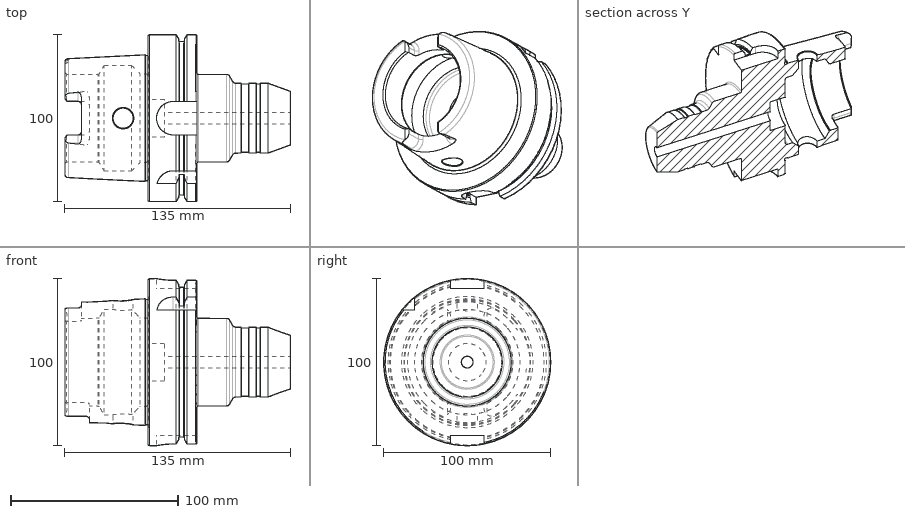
import cadquery as cq
import math


LENGTH = 135.0
FLANGE_START = 49.7
FLANGE_END = 79.0

TAPER_END = 47.9
TAPER_END_RADIUS = 38.0
TAPER_START_RADIUS = TAPER_END_RADIUS - TAPER_END / 20
SHANK_RIM_FILLET = 2.0

NECK_RADIUS = 37.5
NECK_CHAMFER = 0.4
RELIEF_START = 49.0
RELIEF_FLOOR_RADIUS = 38.2
RELIEF_RIM_RADIUS = 39.3
RELIEF_DEPTH = 0.5

FLANGE_RADIUS = 50.02
FLANGE_FRONT_CHAMFER_LENGTH = 0.8
FLANGE_FRONT_CHAMFER_HEIGHT = 0.5
FLANGE_BACK_FILLET = 1.0
GROOVE_CENTRE = 69.8
GROOVE_MOUTH_WIDTH = 6.5
GROOVE_FLOOR_WIDTH = 3.4
GROOVE_SLOPE_RADIUS = 47.4
GROOVE_FLOOR_RADIUS = 45.97
GROOVE_FLOOR_FILLET = 0.4

HUB_RADIUS = 26.26
HUB_BASE_FILLET = 0.8
SHOULDER_START = 97.9
SHOULDER_ANGLE = 60
SHOULDER_FILLET = 2.0
NOSE_RADIUS = 20.99
NOSE_GROOVE_RADIUS = 20.5
NOSE_GROOVE_FLANK = 0.3
NOSE_GROOVES = [(105.3, 110.2), (114.3, 116.9)]
NOSE_CONE_START = 121.4
NOSE_CONE_ANGLE = 20
NOSE_RIM_FILLET = 0.8

BORE_RADIUS = 26.26
BORE_MOUTH_CHAMFER = 1.1
LAND_RADIUS = 26.53
LAND_START = 19.8
LAND_END = 20.5
CLAMP_RADIUS = 31.52
CLAMP_FRONT_ANGLE = 60
CLAMP_END = 40.0
CLAMP_BACK_ANGLE = 45
BORE_DEPTH = 49.7
BORE_FLOOR_FILLET = 1.5
SOCKET_RADIUS = 11.2
SOCKET_DEPTH = 10.0
COOLANT_RADIUS = 3.44

CROSS_HOLE_X = 34.8
CROSS_HOLE_RADIUS = 6.01
CROSS_HOLE_CHAMFER = 0.4

KEYWAY_DEPTHS = {1: 9.9, -1: 14.6}
KEYWAY_HALF_WIDTH = 10.0
KEYWAY_LEDGE = 32.4
KEYWAY_CORNER_RADIUS = 5.0
KEYWAY_FLOOR_FILLET = 2.0
KEYWAY_MOUTH_FLARE = 1.8
KEYWAY_MOUTH_LENGTH = 1.4

SLOT_RADIUS = 10.0
SLOT_END_X = 64.8
SLOT_FLOOR = 44.0
NOTCH_FLOOR = 31.3
NOTCH_WALL = 31.5

MARGIN = 6.8


def revolve(profile):
    """Turn an XY profile (x along the axis, y the radius) about the X axis."""
    return profile.close().revolve(360, (0, 0, 0), (1, 0, 0))


def nose_groove(start, end):
    """Shallow ring groove in the nose with slightly slanted flanks."""
    profile = (
        cq.Workplane("XY")
        .moveTo(start, NOSE_RADIUS + MARGIN)
        .lineTo(start, NOSE_RADIUS)
        .lineTo(start + NOSE_GROOVE_FLANK, NOSE_GROOVE_RADIUS)
        .lineTo(end - NOSE_GROOVE_FLANK, NOSE_GROOVE_RADIUS)
        .lineTo(end, NOSE_RADIUS)
        .lineTo(end, NOSE_RADIUS + MARGIN)
    )
    return revolve(profile)


def shank_and_flange():
    relief_floor = FLANGE_START + RELIEF_DEPTH
    profile = (
        cq.Workplane("XY")
        .lineTo(0, TAPER_START_RADIUS - SHANK_RIM_FILLET)
        .radiusArc((SHANK_RIM_FILLET, TAPER_START_RADIUS + SHANK_RIM_FILLET / 20), SHANK_RIM_FILLET)
        .lineTo(TAPER_END, TAPER_END_RADIUS)
        .lineTo(TAPER_END + NECK_CHAMFER, NECK_RADIUS)
        .lineTo(RELIEF_START, NECK_RADIUS)
        .threePointArc((relief_floor, RELIEF_FLOOR_RADIUS), (FLANGE_START, RELIEF_RIM_RADIUS))
        .lineTo(FLANGE_START, FLANGE_RADIUS - FLANGE_FRONT_CHAMFER_HEIGHT)
        .lineTo(FLANGE_START + FLANGE_FRONT_CHAMFER_LENGTH, FLANGE_RADIUS)
        .lineTo(FLANGE_END - FLANGE_BACK_FILLET, FLANGE_RADIUS)
        .radiusArc((FLANGE_END, FLANGE_RADIUS - FLANGE_BACK_FILLET), FLANGE_BACK_FILLET)
        .lineTo(FLANGE_END, 0)
    )
    return revolve(profile)


def hub_and_nose():
    shoulder_end = SHOULDER_START + (HUB_RADIUS - NOSE_RADIUS) / math.tan(math.radians(SHOULDER_ANGLE))
    tip_radius = NOSE_RADIUS - (LENGTH - NOSE_CONE_START) * math.tan(math.radians(NOSE_CONE_ANGLE))
    profile = (
        cq.Workplane("XY")
        .moveTo(FLANGE_START, 0)
        .lineTo(FLANGE_START, HUB_RADIUS)
        .lineTo(SHOULDER_START, HUB_RADIUS)
        .lineTo(shoulder_end, NOSE_RADIUS)
        .lineTo(NOSE_CONE_START, NOSE_RADIUS)
        .lineTo(LENGTH, tip_radius)
        .lineTo(LENGTH, 0)
    )
    hub = revolve(profile)
    shoulder_ends = cq.selectors.BoxSelector(
        (SHOULDER_START - MARGIN, -HUB_RADIUS, -HUB_RADIUS),
        (shoulder_end + MARGIN, HUB_RADIUS, HUB_RADIUS),
    )
    hub = hub.edges("%CIRCLE").edges(shoulder_ends).fillet(SHOULDER_FILLET)
    hub = hub.faces(">X").edges().fillet(NOSE_RIM_FILLET)
    for start, end in NOSE_GROOVES:
        hub = hub.cut(nose_groove(start, end))
    return hub


def hub_base_fillet():
    """Concave fillet where the hub meets the back face of the flange."""
    profile = (
        cq.Workplane("XY")
        .moveTo(FLANGE_END, NOSE_RADIUS)
        .lineTo(FLANGE_END, HUB_RADIUS + HUB_BASE_FILLET)
        .radiusArc((FLANGE_END + HUB_BASE_FILLET, HUB_RADIUS), -HUB_BASE_FILLET)
        .lineTo(FLANGE_END + HUB_BASE_FILLET, NOSE_RADIUS)
    )
    return revolve(profile)


def gripper_groove():
    left_mouth = GROOVE_CENTRE - GROOVE_MOUTH_WIDTH / 2
    right_mouth = GROOVE_CENTRE + GROOVE_MOUTH_WIDTH / 2
    left_floor = GROOVE_CENTRE - GROOVE_FLOOR_WIDTH / 2
    right_floor = GROOVE_CENTRE + GROOVE_FLOOR_WIDTH / 2
    fillet_top = GROOVE_FLOOR_RADIUS + GROOVE_FLOOR_FILLET
    profile = (
        cq.Workplane("XY")
        .moveTo(left_mouth, FLANGE_RADIUS + MARGIN)
        .lineTo(left_mouth, FLANGE_RADIUS)
        .lineTo(left_floor, GROOVE_SLOPE_RADIUS)
        .lineTo(left_floor, fillet_top)
        .radiusArc((left_floor + GROOVE_FLOOR_FILLET, GROOVE_FLOOR_RADIUS), -GROOVE_FLOOR_FILLET)
        .lineTo(right_floor - GROOVE_FLOOR_FILLET, GROOVE_FLOOR_RADIUS)
        .radiusArc((right_floor, fillet_top), -GROOVE_FLOOR_FILLET)
        .lineTo(right_floor, GROOVE_SLOPE_RADIUS)
        .lineTo(right_mouth, FLANGE_RADIUS)
        .lineTo(right_mouth, FLANGE_RADIUS + MARGIN)
    )
    return revolve(profile)


def bore():
    clamp_depth = CLAMP_RADIUS - LAND_RADIUS
    front_cone_end = LAND_END + clamp_depth / math.tan(math.radians(CLAMP_FRONT_ANGLE))
    back_cone_end = CLAMP_END + clamp_depth / math.tan(math.radians(CLAMP_BACK_ANGLE))
    socket_end = BORE_DEPTH + SOCKET_DEPTH
    profile = (
        cq.Workplane("XY")
        .lineTo(0, BORE_RADIUS + BORE_MOUTH_CHAMFER)
        .lineTo(BORE_MOUTH_CHAMFER, BORE_RADIUS)
        .lineTo(LAND_START, BORE_RADIUS)
        .lineTo(LAND_START, LAND_RADIUS)
        .lineTo(LAND_END, LAND_RADIUS)
        .lineTo(front_cone_end, CLAMP_RADIUS)
        .lineTo(CLAMP_END, CLAMP_RADIUS)
        .lineTo(back_cone_end, LAND_RADIUS)
        .lineTo(BORE_DEPTH - BORE_FLOOR_FILLET, LAND_RADIUS)
        .radiusArc((BORE_DEPTH, LAND_RADIUS - BORE_FLOOR_FILLET), BORE_FLOOR_FILLET)
        .lineTo(BORE_DEPTH, SOCKET_RADIUS)
        .lineTo(socket_end, SOCKET_RADIUS)
        .lineTo(socket_end, COOLANT_RADIUS)
        .lineTo(LENGTH, COOLANT_RADIUS)
        .lineTo(LENGTH, 0)
    )
    return revolve(profile)


def drill_cross_hole(body):
    """Drill along Z through the solid shank and break both rims."""
    circle = cq.Workplane("XY").center(CROSS_HOLE_X, 0).circle(CROSS_HOLE_RADIUS)
    hole = circle.extrude(FLANGE_RADIUS, both=True)
    half = CROSS_HOLE_RADIUS + 2 * CROSS_HOLE_CHAMFER
    around_hole = cq.selectors.BoxSelector(
        (CROSS_HOLE_X - half, -half, -FLANGE_RADIUS),
        (CROSS_HOLE_X + half, half, FLANGE_RADIUS),
        boundingbox=True,
    )
    return body.cut(hole).edges(around_hole).edges("not |Z").chamfer(CROSS_HOLE_CHAMFER)


def keyway(side):
    """Drive keyway on the +Z (side 1) or -Z (side -1) half of the shank end."""
    depth = KEYWAY_DEPTHS[side]
    corner_y = KEYWAY_HALF_WIDTH + KEYWAY_CORNER_RADIUS
    corner_z = KEYWAY_LEDGE - KEYWAY_CORNER_RADIUS
    top = FLANGE_RADIUS
    cutter = (
        cq.Workplane("YZ")
        .workplane(offset=-MARGIN)
        .moveTo(-KEYWAY_HALF_WIDTH, 0)
        .lineTo(-KEYWAY_HALF_WIDTH, corner_z)
        .radiusArc((-corner_y, KEYWAY_LEDGE), -KEYWAY_CORNER_RADIUS)
        .lineTo(-top, KEYWAY_LEDGE)
        .lineTo(-top, top)
        .lineTo(top, top)
        .lineTo(top, KEYWAY_LEDGE)
        .lineTo(corner_y, KEYWAY_LEDGE)
        .radiusArc((KEYWAY_HALF_WIDTH, corner_z), -KEYWAY_CORNER_RADIUS)
        .lineTo(KEYWAY_HALF_WIDTH, 0)
        .close()
        .extrude(depth + MARGIN)
    )
    cutter = cutter.faces(">X").edges("not(<Z or >Z or <Y or >Y)").fillet(KEYWAY_FLOOR_FILLET)
    mouth_half_width = KEYWAY_HALF_WIDTH + KEYWAY_MOUTH_FLARE
    mouth = (
        cq.Workplane("XY")
        .moveTo(0, -mouth_half_width)
        .lineTo(KEYWAY_MOUTH_LENGTH, -KEYWAY_HALF_WIDTH)
        .lineTo(KEYWAY_MOUTH_LENGTH, KEYWAY_HALF_WIDTH)
        .lineTo(0, mouth_half_width)
        .close()
        .extrude(top)
    )
    cutter = cutter.union(mouth)
    return cutter if side == 1 else cutter.mirror("XY")


def flange_slot(centre_y, floor):
    """Round-ended slot open at the back of the flange, cut down to the given height."""
    height = FLANGE_RADIUS + MARGIN - floor
    plane = cq.Workplane("XY").workplane(offset=floor)
    end = plane.center(SLOT_END_X, centre_y).circle(SLOT_RADIUS).extrude(height)
    run = FLANGE_END - SLOT_END_X
    straight = plane.center(SLOT_END_X + run / 2, centre_y).rect(run, 2 * SLOT_RADIUS).extrude(height)
    return end.union(straight)


result = shank_and_flange().cut(gripper_groove())
result = drill_cross_hole(result)
result = result.union(hub_and_nose()).union(hub_base_fillet())
result = result.cut(bore())
for shank_side in KEYWAY_DEPTHS:
    result = result.cut(keyway(shank_side))

drive_slot = flange_slot(0, SLOT_FLOOR)
result = result.cut(drive_slot).cut(drive_slot.mirror("XY"))
result = result.cut(flange_slot(-NOTCH_WALL - SLOT_RADIUS, NOTCH_FLOOR))